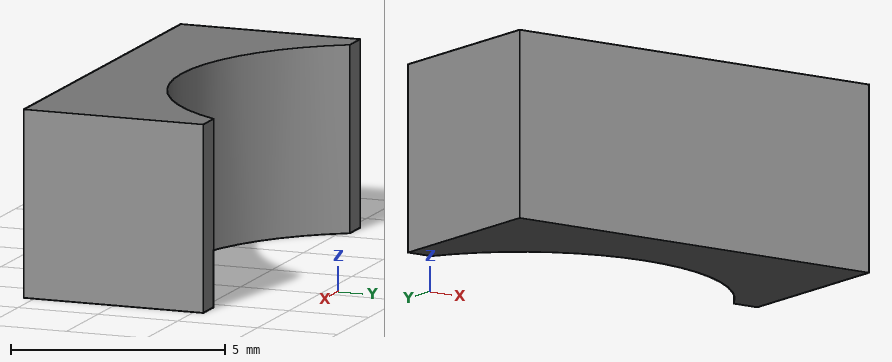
import cadquery as cq

length = 10.0
depth = 4.5
height = 4.5
saddle_radius = 5.0
web_thickness = 2.0

saddle_center_y = web_thickness + saddle_radius

block = cq.Workplane("XY").box(length, depth, height, centered=(True, False, False))
saddle = (
    cq.Workplane("XY")
    .center(0, saddle_center_y)
    .circle(saddle_radius)
    .extrude(height)
)

result = block.cut(saddle)